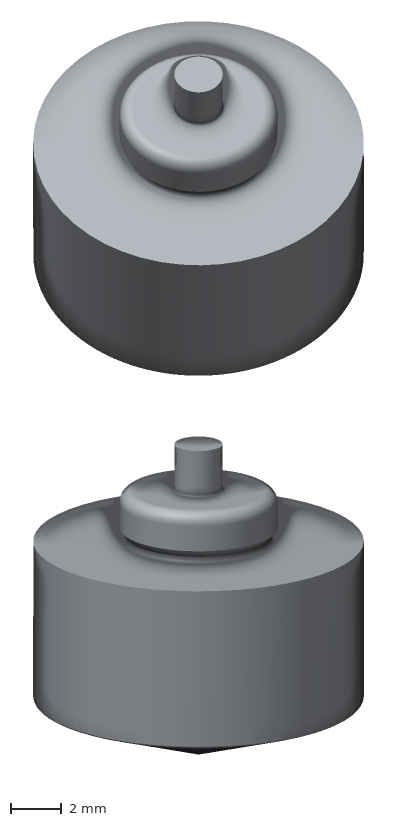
import cadquery as cq
import math

total_height = 12.83
neck_base_z = 0

weight_radius = 13 / 2
cone_slope_deg = 20
rim_fillet = 0.1
neck_radius = 2.83
neck_height = 0.25
neck_fillet = 0.2

cap_radius = 6.2 / 2
cap_height = 1.86
cap_top_fillet = 0.5
cap_chamfer_height = 0.31
pin_radius = 1.9 / 2
pin_length = 1.9
pin_fillet = 0.1

cap_base_z = neck_base_z + neck_height
cap_top_z = cap_base_z + cap_height
pin_top_z = cap_top_z + pin_length
tip_z = pin_top_z - total_height
cone_depth = weight_radius * math.tan(math.radians(cone_slope_deg))
rim_z = tip_z + cone_depth


def revolve_profile(profile):
    """Turn a closed half profile, drawn in the XZ plane, around the Z axis."""
    return profile.close().revolve(360, (0, 0, 0), (0, 1, 0))


def circle_edge_at(radius, z):
    """Select the circular edge of the given radius that lies at height z."""
    tolerance = 0.001
    return cq.selectors.BoxSelector(
        (-radius - tolerance, -radius - tolerance, z - tolerance),
        (radius + tolerance, radius + tolerance, z + tolerance),
        boundingbox=True,
    )


def make_weight():
    """Pointed cylinder with a filleted neck on its flat top."""
    profile = (
        cq.Workplane("XZ")
        .moveTo(0, tip_z)
        .lineTo(weight_radius, rim_z)
        .lineTo(weight_radius, neck_base_z)
        .lineTo(neck_radius, neck_base_z)
        .lineTo(neck_radius, cap_base_z)
        .lineTo(0, cap_base_z)
    )
    weight = revolve_profile(profile)
    weight = weight.edges(circle_edge_at(weight_radius, rim_z)).fillet(rim_fillet)
    return weight.edges(circle_edge_at(neck_radius, neck_base_z)).fillet(neck_fillet)


def make_cap():
    """Disc with a bevelled underside, a rounded top edge and a pin blended into its top."""
    profile = (
        cq.Workplane("XZ")
        .moveTo(0, cap_base_z)
        .lineTo(neck_radius, cap_base_z)
        .lineTo(cap_radius, cap_base_z + cap_chamfer_height)
        .lineTo(cap_radius, cap_top_z)
        .lineTo(pin_radius, cap_top_z)
        .lineTo(pin_radius, pin_top_z)
        .lineTo(0, pin_top_z)
    )
    cap = revolve_profile(profile)
    cap = cap.edges(circle_edge_at(pin_radius, cap_top_z)).fillet(pin_fillet)
    return cap.edges(circle_edge_at(cap_radius, cap_top_z)).fillet(cap_top_fillet)


weight = make_weight()
cap = make_cap()

result = cq.Compound.makeCompound([weight.val(), cap.val()])